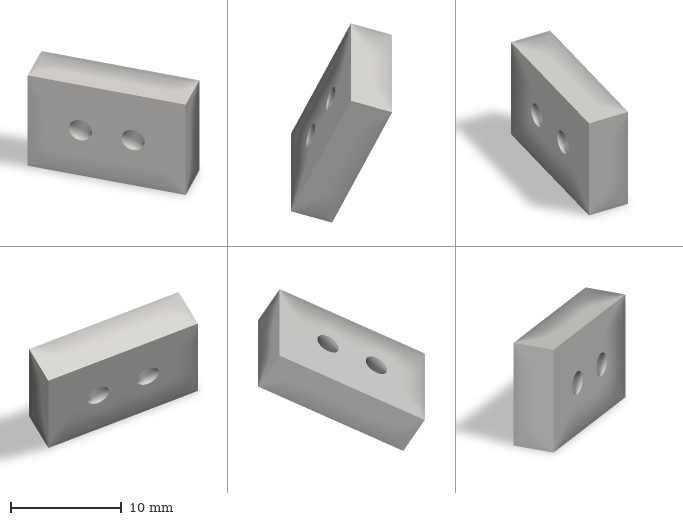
import cadquery as cq

length = 15.0
thickness = 4.0
height = 10.0

hole_diameter = 2.2
hole_spacing = length / 3

block = cq.Workplane("XY").box(length, thickness, height)

result = (
    block.faces("<Y")
    .workplane(centerOption="CenterOfBoundBox")
    .rarray(hole_spacing, 0.15, 2, 1)
    .hole(hole_diameter)
)